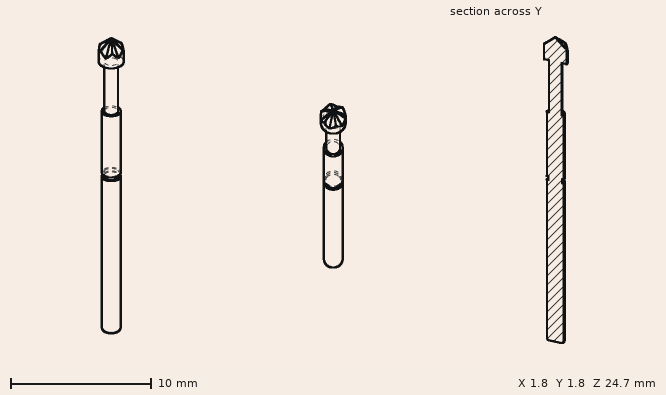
import cadquery as cq
import math

total_length = 24.7

barrel_diameter = 1.36
barrel_length = 18.5
bottom_fillet = 0.2
neck_diameter = 1.1
neck_bottom = 13.0
neck_width = 0.3

shaft_diameter = 1.0

head_diameter = 1.8
head_length = 2.0
flute_count = 6
ridge_drop = 0.76
valley_drop = 1.2

head_radius = head_diameter / 2
head_bottom = total_length - head_length


def cylinder(diameter, bottom, top):
    return cq.Workplane("XY").workplane(offset=bottom).circle(diameter / 2).extrude(top - bottom)


def make_barrel():
    barrel = cylinder(barrel_diameter, 0, barrel_length).faces("<Z").edges().fillet(bottom_fillet)
    neck_top = neck_bottom + neck_width
    ring = cylinder(barrel_diameter, neck_bottom, neck_top).cut(
        cylinder(neck_diameter, neck_bottom, neck_top)
    )
    return barrel.cut(ring)


def make_flute_cutter():
    """V-shaped prism whose bottom edge is a valley line through the tip, heading along +X."""
    valley_slope = math.atan2(valley_drop, head_radius)
    half_pitch = math.pi / flute_count

    ridge_across = head_radius * math.sin(half_pitch)
    ridge_reach = head_radius * math.cos(half_pitch)
    ridge_rise = ridge_reach * math.sin(valley_slope) - ridge_drop * math.cos(valley_slope)

    cutter_half_width = 2 * head_diameter
    cutter_height = cutter_half_width * ridge_rise / ridge_across
    cutter_half_length = 2 * head_diameter

    section = cq.Plane(
        origin=(0, 0, total_length),
        xDir=(0, 1, 0),
        normal=(math.cos(valley_slope), 0, -math.sin(valley_slope)),
    )
    return (
        cq.Workplane(section)
        .moveTo(0, 0)
        .lineTo(cutter_half_width, cutter_height)
        .lineTo(-cutter_half_width, cutter_height)
        .close()
        .extrude(cutter_half_length, both=True)
    )


def make_head():
    head = cylinder(head_diameter, head_bottom, total_length)
    flute_pitch = 360 / flute_count
    cutter = make_flute_cutter()
    for index in range(flute_count):
        angle = (index + 0.5) * flute_pitch
        head = head.cut(cutter.rotate((0, 0, 0), (0, 0, 1), angle))
    return head


shaft = cylinder(shaft_diameter, barrel_length, head_bottom)
result = make_barrel().union(shaft).union(make_head())